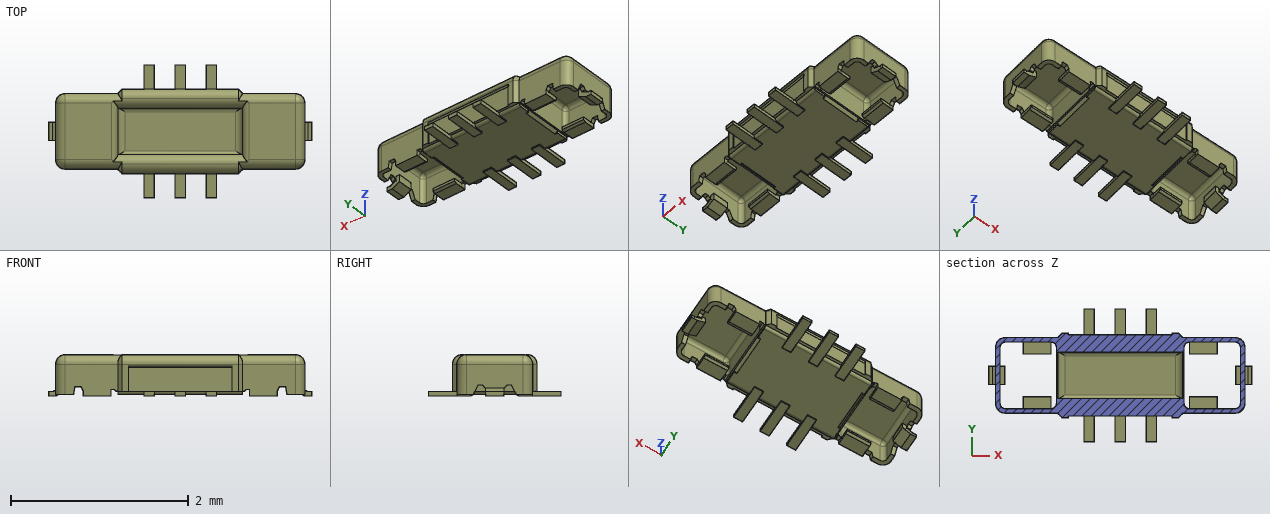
import cadquery as cq
import math

total_length = 2.97
total_width = 1.5
height = 0.47
sheet = 0.053
standoff = 0.018

end_half_length = 1.408
end_half_width = 0.428
bend_radius = 0.11

rail_half_width = 0.478
middle_half_length = 0.705
rail_chamfer = 0.048

panel_half_length = 0.585
panel_top = 0.34
panel_depth = 0.018

pocket_half_length = middle_half_length
pocket_end_wall = 0.018
pocket_half_width = rail_half_width - 2 * bend_radius
pocket_floor = 0.09
pocket_end_lip = 0.07
pocket_end_floor_radius = 0.08
pocket_side_floor_radius = 0.04

base_round = sheet - standoff

pin_width = 0.12
pin_pitch = 0.35
pin_inner_y = 0.297

foot_outer_x = 1.095
foot_inner_x = 0.78
foot_inner_y = 0.24
foot_slope = 0.033

side_notch_outer_x = 1.203
side_notch_slope = 0.015
side_notch_top = 0.105
side_notch_corner = 0.025
inner_notch_top = 0.075
inner_notch_corner = inner_notch_top - sheet

end_notch_outer_y = 0.24
end_notch_top_outer_y = 0.187
end_notch_top_inner_y = 0.14
end_notch_top = 0.128
tab_slot_half_width = 0.11
tab_slot_top = 0.092

tab_width = 0.208
tab_flat_length = 0.045
tab_root_top = 0.148


def box(x0, x1, y0, y1, z0, z1):
    return cq.Workplane("XY").box(x1 - x0, y1 - y0, z1 - z0, centered=False).translate((x0, y0, z0))


def extrude_along_y(points, y0, y1):
    """Prism with an XZ outline between two Y positions."""
    return cq.Workplane("XZ", origin=(0, y0, 0)).polyline(points).close().extrude(y0 - y1)


def extrude_along_x(points, x0, x1):
    """Prism with a YZ outline between two X positions."""
    return cq.Workplane("YZ", origin=(x0, 0, 0)).polyline(points).close().extrude(x1 - x0)


def both_x(shape):
    return shape.union(shape.mirror("YZ"))


def both_y(shape):
    return shape.union(shape.mirror("XZ"))


def end_caps():
    """Long rounded block whose two ends are hollow and open below."""
    block = box(-end_half_length, end_half_length, -end_half_width, end_half_width, standoff, height)
    block = block.edges("|Z").fillet(bend_radius).faces(">Z").edges().fillet(bend_radius)
    cavity = box(
        pocket_half_length + pocket_end_wall, end_half_length - sheet,
        -end_half_width + sheet, end_half_width - sheet,
        0, height - sheet,
    )
    inner_radius = bend_radius - sheet
    cavity = cavity.edges("|Z").fillet(inner_radius).faces(">Z").edges().fillet(inner_radius)
    return block.cut(both_x(cavity))


def middle_section():
    """Wider middle block with round rails and chamfered ends."""
    block = box(-middle_half_length, middle_half_length, -rail_half_width, rail_half_width, sheet, height)
    block = block.edges("|X and >Z").fillet(bend_radius)
    end_edges = block.faces("<X or >X").edges("not <Z")
    return end_edges.chamfer(rail_chamfer)


def base():
    """Rounded underside of the middle section, bevelled below the pocket ends."""
    plate = box(
        -middle_half_length, middle_half_length,
        -end_half_width, end_half_width,
        standoff, sheet + base_round,
    )
    plate = plate.edges("|X and <Z").fillet(base_round)
    bevel = extrude_along_y(
        [
            (middle_half_length, sheet),
            (middle_half_length, standoff),
            (middle_half_length - base_round, standoff),
        ],
        -pocket_half_width, pocket_half_width,
    )
    return plate.cut(both_x(bevel))


def rail_panel():
    """Shallow panel whose top edge slopes inward at 45 degrees."""
    inner_y = rail_half_width - panel_depth
    return both_y(extrude_along_x(
        [
            (rail_half_width, sheet),
            (rail_half_width, panel_top),
            (inner_y, panel_top - panel_depth),
            (inner_y, sheet),
        ],
        -panel_half_length, panel_half_length,
    ))


def pocket_profile(plane, half_opening, lip_radius, floor_radius, half_depth):
    """Trough with rounded lips and floor corners, extruded both ways."""
    lip_z = height - lip_radius
    wall_foot = pocket_floor + floor_radius
    diagonal = math.sqrt(0.5)
    lip_mid = (half_opening + lip_radius * (1 - diagonal), lip_z + lip_radius * diagonal)
    floor_mid = (
        half_opening - floor_radius * (1 - diagonal),
        wall_foot - floor_radius * diagonal,
    )
    lip_edge = half_opening + lip_radius
    floor_edge = half_opening - floor_radius
    return (
        cq.Workplane(plane)
        .moveTo(-lip_edge, height)
        .threePointArc((-lip_mid[0], lip_mid[1]), (-half_opening, lip_z))
        .lineTo(-half_opening, wall_foot)
        .threePointArc((-floor_mid[0], floor_mid[1]), (-floor_edge, pocket_floor))
        .lineTo(floor_edge, pocket_floor)
        .threePointArc(floor_mid, (half_opening, wall_foot))
        .lineTo(half_opening, lip_z)
        .threePointArc(lip_mid, (lip_edge, height))
        .close()
        .extrude(half_depth, both=True)
    )


def pocket():
    """Pocket whose end and side rounds differ and meet in mitres."""
    lengthwise = pocket_profile(
        "XZ", pocket_half_length, pocket_end_lip, pocket_end_floor_radius, rail_half_width
    )
    crosswise = pocket_profile(
        "YZ", pocket_half_width, bend_radius, pocket_side_floor_radius, end_half_length
    )
    return lengthwise.intersect(crosswise)


def side_notches():
    """Notches on both sides of each solder foot, cut across the whole width."""
    outer = extrude_along_y(
        [
            (side_notch_outer_x, 0),
            (side_notch_outer_x, standoff),
            (side_notch_outer_x - side_notch_slope, side_notch_top),
            (foot_outer_x + side_notch_corner, side_notch_top),
            (foot_outer_x, side_notch_top - 2 * side_notch_corner),
            (foot_outer_x, 0),
        ],
        -end_half_width, end_half_width,
    )
    wall_x = pocket_half_length + pocket_end_wall
    inner = extrude_along_y(
        [
            (foot_inner_x, 0),
            (foot_inner_x, inner_notch_top),
            (wall_x + inner_notch_corner, inner_notch_top),
            (wall_x, sheet),
            (middle_half_length, sheet),
            (middle_half_length, 0),
        ],
        -end_half_width, end_half_width,
    )
    return both_x(outer.union(inner))


def end_notches():
    """Opening in each end wall: two tall notches joined by the tab slot."""
    half_outline = [
        (end_notch_outer_y, standoff),
        (end_notch_top_outer_y, end_notch_top),
        (end_notch_top_inner_y, end_notch_top),
        (tab_slot_half_width, tab_slot_top),
    ]
    mirrored = [(-y, z) for y, z in reversed(half_outline)]
    return both_x(extrude_along_x(half_outline + mirrored, end_half_length - sheet, end_half_length))


def pins():
    row = cq.Workplane("XY")
    for index in (-1, 0, 1):
        x = index * pin_pitch
        row = row.union(box(
            x - pin_width / 2, x + pin_width / 2, pin_inner_y, total_width / 2, 0, sheet
        ))
    return both_y(row)


def solder_feet():
    """Feet turned inward below the end cap side walls."""
    foot = extrude_along_x(
        [
            (end_half_width, 0),
            (end_half_width, sheet),
            (foot_inner_y, sheet),
            (foot_inner_y, standoff),
            (foot_inner_y + foot_slope, 0),
        ],
        foot_inner_x, foot_outer_x,
    )
    return both_x(both_y(foot))


def end_tabs():
    """Tabs that rise through the end slots and run up the inner end walls."""
    tip_x = total_length / 2
    wall_inner_x = end_half_length - sheet
    root_x = wall_inner_x - sheet
    tab = extrude_along_y(
        [
            (tip_x, 0),
            (tip_x, sheet),
            (tip_x - tab_flat_length, sheet),
            (wall_inner_x, tab_slot_top),
            (wall_inner_x, tab_root_top),
            (root_x, tab_root_top),
            (root_x, sheet),
            (end_half_length, 0),
        ],
        -tab_width / 2, tab_width / 2,
    )
    return both_x(tab)


under_middle = box(
    -middle_half_length, middle_half_length, -end_half_width, end_half_width, 0, sheet
)

housing = end_caps().union(solder_feet()).cut(under_middle).union(middle_section()).union(base())
housing = housing.cut(rail_panel()).cut(pocket())
housing = housing.cut(side_notches()).cut(end_notches())

result = housing.union(pins()).union(end_tabs())